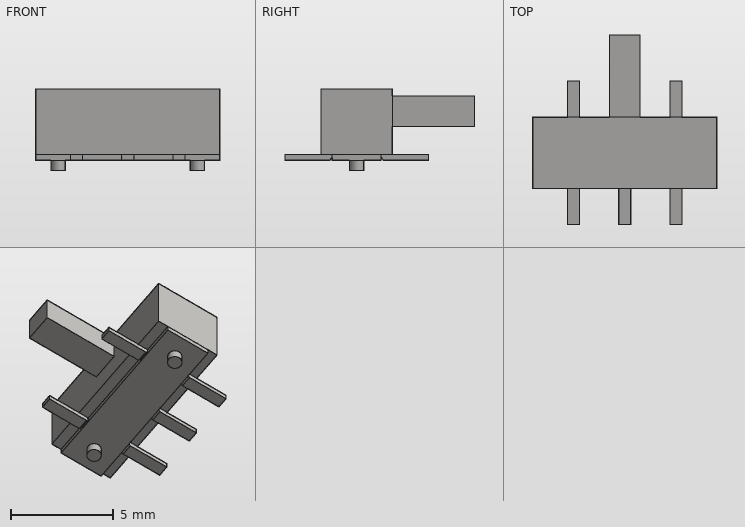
import cadquery as cq

housing_length = 9.0
housing_width = 3.5
housing_height = 3.2
base_thickness = 0.3
base_width = 2.4

peg_diameter = 0.7
peg_length = 0.5
peg_spacing = 6.8

lever_section = 1.5
lever_drop = 0.35
lever_tip_y = 5.75

lead_width = 0.6
lead_pitch = 2.5
front_lead_reach = 3.5
rear_lead_reach = 3.515
lead_chamfer_length = 0.11
lead_chamfer_height = 0.14

housing_top = base_thickness + housing_height
front_lead_places = [-lead_pitch, 0, lead_pitch]
rear_lead_places = [-lead_pitch, lead_pitch]


def make_housing():
    return (
        cq.Workplane("XY")
        .workplane(offset=base_thickness)
        .rect(housing_length, housing_width)
        .extrude(housing_height)
    )


def make_base():
    plate = cq.Workplane("XY").rect(housing_length, base_width).extrude(base_thickness)
    pegs = (
        cq.Workplane("XY")
        .pushPoints([(-peg_spacing / 2, 0), (peg_spacing / 2, 0)])
        .circle(peg_diameter / 2)
        .extrude(-peg_length)
    )
    return plate.union(pegs)


def make_lever():
    """Square bar standing out from the rear wall of the housing."""
    length = lever_tip_y - housing_width / 2
    bar = cq.Workplane("XY").box(lever_section, length, lever_section, centered=(True, False, False))
    return bar.translate((0, housing_width / 2, housing_top - lever_drop - lever_section))


def make_rear_lead(x, reach=rear_lead_reach):
    """Flat lead from the base edge towards +Y, its lower inner edge chamfered."""
    inner_y = base_width / 2
    return (
        cq.Workplane("YZ")
        .moveTo(inner_y, base_thickness)
        .lineTo(inner_y, lead_chamfer_height)
        .lineTo(inner_y + lead_chamfer_length, 0)
        .lineTo(reach, 0)
        .lineTo(reach, base_thickness)
        .close()
        .extrude(lead_width / 2, both=True)
        .translate((x, 0, 0))
    )


def make_front_lead(x):
    """Lead of the same profile with its own reach, mirrored to point towards -Y."""
    return make_rear_lead(x, front_lead_reach).mirror("XZ")


housing = make_housing()
base = make_base()
lever = make_lever()
rear_leads = [make_rear_lead(x) for x in rear_lead_places]
front_leads = [make_front_lead(x) for x in front_lead_places]
leads = rear_leads + front_leads

result = cq.Compound.makeCompound(
    [housing.val(), base.val(), lever.val(), *[lead.val() for lead in leads]]
)